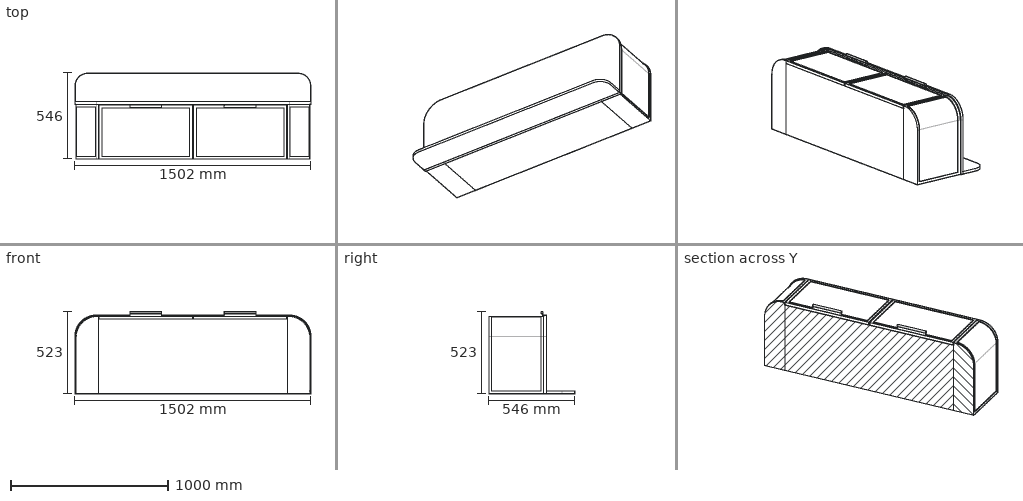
import cadquery as cq

board = 18.0
back_width = 1502.0
back_height = 500.0
corner_centre_height = 363.0
end_step = 8.0
cabinet_depth = 348.0
body_width = 1200.0
recess_depth = 5.0
lid_gap = 3.8

shelf_width = 1499.0
shelf_depth = 180.0
shelf_corner_radius = 81.0

handle_length = 203.0
bead_diameter = 15.0
stem_thickness = 3.0
total_height = 523.0

back_radius = back_height - corner_centre_height
end_radius = back_radius - end_step
cabinet_height = back_height - end_step
cabinet_half_width = back_width / 2 - end_step
body_half_width = body_width / 2
body_height = cabinet_height - board
lid_width = body_half_width - 2 * lid_gap
lid_depth = cabinet_depth - lid_gap
lid_centre_x = body_half_width / 2
bead_radius = bead_diameter / 2


def box(x_min, x_max, y_min, y_max, z_min, z_max):
    """Axis-aligned block between the given limits."""
    size = (x_max - x_min, y_max - y_min, z_max - z_min)
    return cq.Workplane("XY").box(*size, centered=False).translate((x_min, y_min, z_min))


def rounded_arch(half_width, height, radius, y_min, y_max):
    """Upright slab with both upper corners rounded."""
    slab = box(-half_width, half_width, y_min, y_max, 0, height)
    return slab.edges("|Y and >Z").fillet(radius)


def make_back():
    return rounded_arch(back_width / 2, back_height, back_radius, cabinet_depth, cabinet_depth + board)


def make_shelf():
    y_min = cabinet_depth + board
    plate = box(-shelf_width / 2, shelf_width / 2, y_min, y_min + shelf_depth, 0, board)
    return plate.edges("|Z and >Y").fillet(shelf_corner_radius)


def make_body():
    return box(-body_half_width, body_half_width, 0, cabinet_depth, 0, body_height)


def make_end(side):
    """End box; a framed panel is sunk in its outer face and runs over the rounded corner."""
    block = rounded_arch(cabinet_half_width, cabinet_height, end_radius, 0, cabinet_depth)
    panel_floor = rounded_arch(
        cabinet_half_width - recess_depth,
        cabinet_height - recess_depth,
        end_radius - recess_depth,
        board,
        cabinet_depth - board,
    )
    inner_x = body_half_width + board
    window = box(inner_x, back_width, board, cabinet_depth - board, board, back_height)
    half = box(body_half_width, back_width, 0, cabinet_depth, 0, back_height)
    end = block.intersect(half).cut(window.cut(panel_floor))
    if side < 0:
        end = end.mirror("YZ")
    return end


def make_lid(centre_x):
    half = lid_width / 2
    lid = box(centre_x - half, centre_x + half, 0, lid_depth, body_height, cabinet_height)
    recess = box(
        centre_x - half + board,
        centre_x + half - board,
        board,
        lid_depth - board,
        cabinet_height - recess_depth,
        cabinet_height,
    )
    return lid.cut(recess)


def make_handle(centre_x):
    """Thin upright strip along the rear edge of a lid, ending in a round bead."""
    x_min = centre_x - handle_length / 2
    x_max = centre_x + handle_length / 2
    bead_z = total_height - bead_radius
    stem = box(x_min, x_max, lid_depth - stem_thickness, lid_depth, cabinet_height, bead_z)
    bead = (
        cq.Workplane("YZ", origin=(x_min, 0, 0))
        .center(lid_depth - bead_radius, bead_z)
        .circle(bead_radius)
        .extrude(handle_length)
    )
    return stem.union(bead)


back = make_back()
shelf = make_shelf()
body = make_body()
sides = (-1, 1)
ends = [make_end(side) for side in sides]
lids = [make_lid(side * lid_centre_x) for side in sides]
handles = [make_handle(side * lid_centre_x) for side in sides]

bodies = [back, shelf, body, *ends, *lids, *handles]
result = cq.Compound.makeCompound([item.val() for item in bodies])